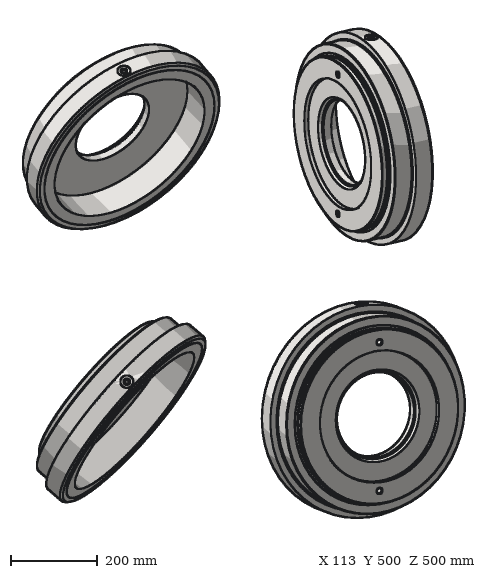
import cadquery as cq
import math

spigot_land_end = 12.5
neck_end = 17.0
shoulder_face = 18.5
flange_face = 64.5
flange_rim_end = 112.0
overall_length = 113.0

spigot_diameter = 411.0
neck_end_diameter = 408.0
relief_outer_diameter = 422.5
body_diameter = 465.0
flange_diameter = 500.0
edge_chamfer = 1.5
flange_chamfer = 5.0
relief_depth = 1.0
corner_relief = 1.5
corner_relief_outer_diameter = 468.5

recess_diameter = 310.0
recess_depth = 10.0
recess_chamfer = 1.0
bore_cone_diameter = 217.5
bore_step_diameter = 206.5
bore_diameter = 200.0
bore_cone_length = 7.5
bore_step_length = 2.5
bore_end = 40.0
rear_cavity_diameter = 410.0

face_hole_radius = 175.0
face_hole_mouth = 15.0
face_hole_diameter = 12.0
face_hole_depth = 25.0

port_x = 89.0
spotface_diameter = 30.0
spotface_depth = 1.0
port_mouth = 15.0
port_diameter = 10.0
port_depth = 30.0

drill_point_angle = 118.0


def revolved_ring():
    """Turned body, revolved about the X axis from its half section."""
    spigot_r = spigot_diameter / 2
    neck_r = neck_end_diameter / 2
    relief_r = relief_outer_diameter / 2
    body_r = body_diameter / 2
    corner_r = corner_relief_outer_diameter / 2
    flange_r = flange_diameter / 2
    cavity_r = rear_cavity_diameter / 2
    recess_r = recess_diameter / 2
    cone_end = recess_depth + bore_cone_length
    step_end = cone_end + bore_step_length
    section = [
        (0, recess_r),
        (0, spigot_r - edge_chamfer),
        (edge_chamfer, spigot_r),
        (spigot_land_end, spigot_r),
        (neck_end, neck_r),
        (shoulder_face + relief_depth, neck_r),
        (shoulder_face + relief_depth, relief_r - relief_depth),
        (shoulder_face, relief_r),
        (shoulder_face, body_r - edge_chamfer),
        (shoulder_face + edge_chamfer, body_r),
        (flange_face - corner_relief, body_r),
        (flange_face - corner_relief, body_r - corner_relief),
        (flange_face + relief_depth, body_r - corner_relief),
        (flange_face + relief_depth, corner_r - relief_depth),
        (flange_face, corner_r),
        (flange_face, flange_r),
        (flange_rim_end - flange_chamfer, flange_r),
        (flange_rim_end, flange_r - flange_chamfer),
        (flange_rim_end, body_r),
        (overall_length, body_r),
        (overall_length, cavity_r),
        (bore_end, cavity_r),
        (bore_end, bore_diameter / 2),
        (step_end, bore_diameter / 2),
        (step_end, bore_step_diameter / 2),
        (cone_end, bore_step_diameter / 2),
        (recess_depth, bore_cone_diameter / 2),
        (recess_depth, recess_r - recess_chamfer),
        (recess_depth - recess_chamfer, recess_r - recess_chamfer),
    ]
    return cq.Workplane("XY").polyline(section).close().revolve(360, (0, 0, 0), (1, 0, 0))


def drilled_hole(mouth_diameter, diameter, depth, point_length=0):
    """Cutter along +X from the origin: 45 degree mouth, straight bore and optional drill point."""
    radius = diameter / 2
    mouth_r = mouth_diameter / 2
    section = [
        (0, 0),
        (0, mouth_r),
        (mouth_r - radius, radius),
        (depth, radius),
        (depth + point_length, 0),
    ]
    return cq.Workplane("XY").polyline(section).close().revolve(360, (0, 0, 0), (1, 0, 0))


result = revolved_ring()

for side in (1, -1):
    face_hole = drilled_hole(face_hole_mouth, face_hole_diameter, face_hole_depth)
    result = result.cut(face_hole.translate((0, 0, side * face_hole_radius)))

spotface_z = flange_diameter / 2 - spotface_depth
spotface = cq.Workplane("XY", origin=(port_x, 0, spotface_z)).circle(spotface_diameter / 2).extrude(5)
point_length = port_diameter / 2 / math.tan(math.radians(drill_point_angle / 2))
port = drilled_hole(port_mouth, port_diameter, port_depth, point_length).rotate((0, 0, 0), (0, 1, 0), 90)
result = result.cut(spotface).cut(port.translate((port_x, 0, spotface_z)))